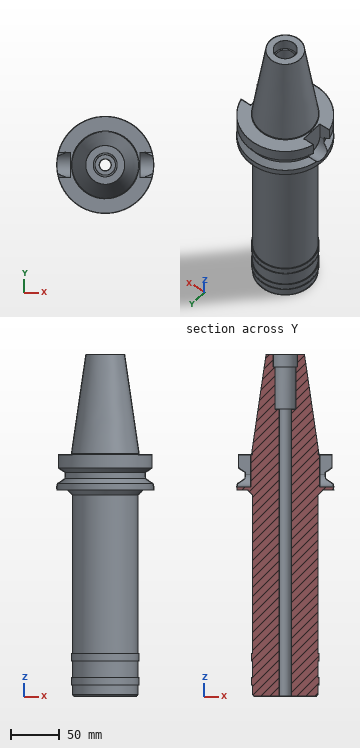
import cadquery as cq

total_length = 351.8
gauge_height = 250.0

gauge_radius = 35.0
taper_ratio = 7 / 24
taper_top_radius = gauge_radius - (total_length - gauge_height) * taper_ratio / 2
relief_radius = 34.0

flange_radius = 50.0
flange_top = 248.7
flange_bottom = 212.0
groove_radius = 43.3
groove_upper_edge = 235.0
groove_floor_top = 230.5
groove_floor_bottom = 224.0
groove_lower_edge = 218.8

body_radius = 33.8
body_cone_height = 5.0
end_chamfer = 1.8
band_radius = 35.0
band_height = 7.7
band_bottoms = (11.5, 36.5)

slot_width = 25.7
slot_floor_distance = 35.5
slot_bottom = 215.5

pilot_radius = 12.3
pilot_depth = 12.5
thread_radius = 10.5
thread_depth = 56.3
through_radius = 6.0


def turned_body():
    """Revolve the half profile of shank, flange and body about Z."""
    profile = [
        (0, 0),
        (body_radius - end_chamfer, 0),
        (body_radius, end_chamfer),
        (body_radius, flange_bottom - body_cone_height),
        (body_radius + body_cone_height, flange_bottom),
        (flange_radius, flange_bottom),
        (flange_radius, groove_lower_edge),
        (groove_radius, groove_floor_bottom),
        (groove_radius, groove_floor_top),
        (flange_radius, groove_upper_edge),
        (flange_radius, flange_top),
        (relief_radius, flange_top),
        (relief_radius, gauge_height),
        (gauge_radius, gauge_height),
        (taper_top_radius, total_length),
        (0, total_length),
    ]
    return cq.Workplane("XZ").polyline(profile).close().revolve(360, (0, 0, 0), (0, 1, 0))


def cylinder(radius, bottom, height):
    return cq.Workplane("XY").workplane(offset=bottom).circle(radius).extrude(height)


def drive_slot():
    """Round-bottomed slot cutter on the +X side, open at the flange top."""
    half_width = slot_width / 2
    arc_center = slot_bottom + half_width
    return (
        cq.Workplane("YZ")
        .workplane(offset=slot_floor_distance)
        .moveTo(-half_width, flange_top)
        .lineTo(-half_width, arc_center)
        .threePointArc((0, slot_bottom), (half_width, arc_center))
        .lineTo(half_width, flange_top)
        .close()
        .extrude(flange_radius)
    )


result = turned_body()

for band_bottom in band_bottoms:
    result = result.union(cylinder(band_radius, band_bottom, band_height))

for angle in (0, 180):
    result = result.cut(drive_slot().rotate((0, 0, 0), (0, 0, 1), angle))

result = result.cut(cylinder(through_radius, 0, total_length))
for bore_radius, depth in ((pilot_radius, pilot_depth), (thread_radius, thread_depth)):
    result = result.cut(cylinder(bore_radius, total_length - depth, depth))